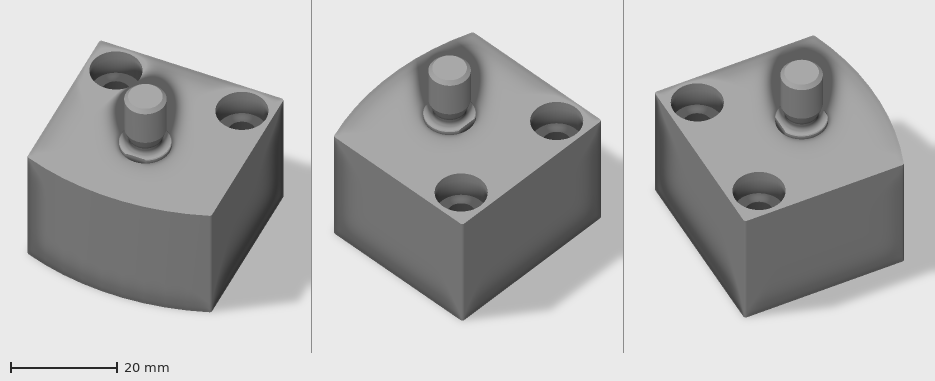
import cadquery as cq
import math

total_height = 39.1

block_width = 38.0
block_length = 37.0
block_height = 26.08
pin_to_back = 21.55
front_radius = 55.0
corner_radius = 0.5

hole_spacing = 26.0
hole_to_back = 6.05
hole_diameter = 5.5
counterbore_diameter = 10.0
counterbore_depth = 5.75

shaft_diameter = 8.0
shaft_start = 4.57
tip_chamfer = 0.75
neck_diameter = 6.2
neck_start = 1.55
neck_end = 2.1
taper_bulge = 0.05
flange_diameter = 10.0
flange_top = 0.95
flange_chamfer = 0.15
flange_across_flats = 9.0
seat_depth = 2.0


def make_block():
    half_width = block_width / 2
    back = pin_to_back
    front = back - block_length
    arc_rise = front_radius - math.sqrt(front_radius**2 - half_width**2)
    block = (
        cq.Workplane("XY")
        .moveTo(-half_width, back)
        .lineTo(-half_width, front + arc_rise)
        .threePointArc((0, front), (half_width, front + arc_rise))
        .lineTo(half_width, back)
        .close()
        .extrude(block_height)
        .edges("|Z")
        .fillet(corner_radius)
    )
    top = cq.Workplane("XY", origin=(0, 0, block_height))
    block = block.cut(top.circle(flange_diameter / 2).extrude(-seat_depth))
    hole_y = back - hole_to_back
    hole_centres = [(side * hole_spacing / 2, hole_y) for side in (-1, 1)]
    counterbores = top.pushPoints(hole_centres).circle(counterbore_diameter / 2).extrude(-counterbore_depth)
    holes = top.pushPoints(hole_centres).circle(hole_diameter / 2).extrude(-block_height)
    return block.cut(counterbores).cut(holes)


def make_pin():
    shaft_radius = shaft_diameter / 2
    neck_radius = neck_diameter / 2
    flange_radius = flange_diameter / 2
    tip = total_height - block_height
    root_fillet = neck_start - flange_top
    fillet_offset = root_fillet * (1 - math.sqrt(0.5))
    taper_middle = (
        (shaft_radius + neck_radius) / 2 + taper_bulge,
        (shaft_start + neck_end) / 2,
    )
    pin = (
        cq.Workplane("XZ", origin=(0, 0, block_height))
        .moveTo(0, -seat_depth)
        .lineTo(flange_radius, -seat_depth)
        .lineTo(flange_radius, flange_top - flange_chamfer)
        .lineTo(flange_radius - flange_chamfer, flange_top)
        .lineTo(neck_radius + root_fillet, flange_top)
        .threePointArc(
            (neck_radius + fillet_offset, flange_top + fillet_offset),
            (neck_radius, neck_start),
        )
        .lineTo(neck_radius, neck_end)
        .threePointArc(taper_middle, (shaft_radius, shaft_start))
        .lineTo(shaft_radius, tip - tip_chamfer)
        .lineTo(shaft_radius - tip_chamfer, tip)
        .lineTo(0, tip)
        .close()
        .revolve(360, (0, 0, 0), (0, 1, 0))
    )
    between_flats = cq.Workplane("XY").box(
        flange_diameter, flange_across_flats, total_height, centered=(True, True, False)
    )
    return pin.intersect(between_flats)


block = make_block()
pin = make_pin()
result = cq.Compound.makeCompound([block.solids().val(), pin.solids().val()])